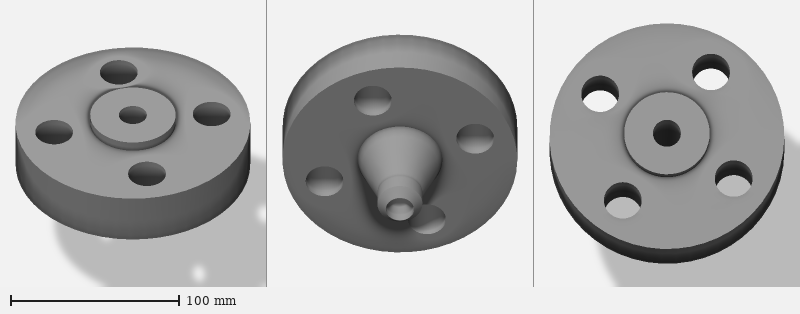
import cadquery as cq

flange_diameter = 139.7
flange_thickness = 31.7
face_diameter = 50.9
face_height = 6.3

hub_diameter = 50.6
hub_height = 31.9
neck_diameter = 26.8
neck_height = 10.5
tip_diameter = 17.0
bevel_height = 5.3

bore_diameter = 16.6
bolt_hole_diameter = 22.5
bolt_spacing = 67.3

bevel_top = bevel_height
neck_top = bevel_top + neck_height
flange_bottom = neck_top + hub_height
flange_top = flange_bottom + flange_thickness
face_top = flange_top + face_height


def revolved_body():
    """Solid of revolution about Z from the (radius, height) half section."""
    section = [
        (bore_diameter / 2, 0),
        (tip_diameter / 2, 0),
        (neck_diameter / 2, bevel_top),
        (neck_diameter / 2, neck_top),
        (hub_diameter / 2, flange_bottom),
        (flange_diameter / 2, flange_bottom),
        (flange_diameter / 2, flange_top),
        (face_diameter / 2, flange_top),
        (face_diameter / 2, face_top),
        (bore_diameter / 2, face_top),
    ]
    return cq.Workplane("XZ").polyline(section).close().revolve(360, (0, 0), (0, 1))


def bolt_holes():
    """Cutters for the four bolt holes through the flange plate."""
    return (
        cq.Workplane("XY", origin=(0, 0, flange_bottom))
        .rect(bolt_spacing, bolt_spacing, forConstruction=True)
        .vertices()
        .circle(bolt_hole_diameter / 2)
        .extrude(flange_thickness)
    )


result = revolved_body().cut(bolt_holes())